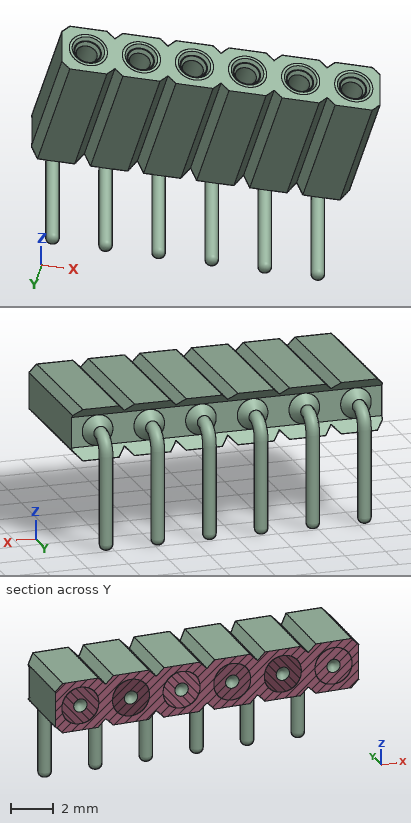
import cadquery as cq
import math

pin_count = 6
row_length = 15.24
pitch = row_length / pin_count
half_height = pitch / 2
housing_depth = 7.0
corner_chamfer = 0.38
notch_depth = 0.52
notch_floor_y = housing_depth - notch_depth
notch_floor_half = half_height - notch_depth

overall_depth = 8.08
overall_height = 6.77
tail_radius = 0.32
sleeve_radius = 0.91
shoulder_exit_radius = notch_floor_half
shoulder_start_y = notch_floor_y - (sleeve_radius - shoulder_exit_radius)
shoulder_end_y = notch_floor_y + (shoulder_exit_radius - tail_radius)
tail_axis_y = overall_depth - tail_radius
bend_radius = tail_axis_y - shoulder_end_y
tail_end_z = half_height - overall_height
tip_fillet = 0.29

mouth_radius = 0.78
ledge_outer_radius = 0.65
ledge_inner_radius = 0.61
ledge_depth = 0.15
bore_radius = 0.5
taper_depth = 0.35
bore_depth = 3.05
drill_point_angle = 118
drill_tip_depth = bore_radius / math.tan(math.radians(drill_point_angle / 2))


def cell_x(index):
    """X of the pin axis in one cell, with the row centred on x = 0."""
    return (index - (pin_count - 1) / 2) * pitch


def revolve_about_y(points):
    """Turn (radius, y) points round the Y axis."""
    return cq.Workplane("XY").polyline(points).close().revolve(360, (0, 0, 0), (0, 1, 0))


def make_cell():
    """One housing cell: a square bar with its four long edges chamfered."""
    bar = cq.Workplane("XY").box(pitch, housing_depth, pitch, centered=(True, False, True))
    return bar.edges("|Y").chamfer(corner_chamfer)


def make_rear_notch():
    """Trapezoidal channel along the whole rear face."""
    return (
        cq.Workplane("YZ")
        .polyline([
            (housing_depth, half_height),
            (notch_floor_y, notch_floor_half),
            (notch_floor_y, -notch_floor_half),
            (housing_depth, -half_height),
        ])
        .close()
        .extrude(row_length / 2, both=True)
    )


def make_sleeve_envelope():
    """Solid sleeve with its shoulder, which also shapes the seat in the housing."""
    return revolve_about_y([
        (0, 0),
        (sleeve_radius, 0),
        (sleeve_radius, shoulder_start_y),
        (tail_radius, shoulder_end_y),
        (0, shoulder_end_y),
    ])


def make_housing():
    housing = make_cell().translate((cell_x(0), 0, 0))
    for index in range(1, pin_count):
        housing = housing.union(make_cell().translate((cell_x(index), 0, 0)))
    housing = housing.cut(make_rear_notch())
    for index in range(pin_count):
        housing = housing.cut(make_sleeve_envelope().translate((cell_x(index), 0, 0)))
    return housing


def make_socket_bore():
    """Flared mouth, ledge, taper and blind hole with a conical drill end."""
    return revolve_about_y([
        (0, 0),
        (mouth_radius, 0),
        (ledge_outer_radius, ledge_depth),
        (ledge_inner_radius, ledge_depth),
        (bore_radius, taper_depth),
        (bore_radius, bore_depth),
        (0, bore_depth + drill_tip_depth),
    ])


def make_bend():
    """Quarter turn from +Y down to -Z."""
    return (
        cq.Workplane("XZ", origin=(0, shoulder_end_y, 0))
        .circle(tail_radius)
        .revolve(90, (0.15, -bend_radius, 0), (0, -bend_radius, 0))
    )


def make_tail():
    """Straight leg below the bend, with its tip rounded over."""
    leg_length = -bend_radius - tail_end_z
    leg = (
        cq.Workplane("XY", origin=(0, tail_axis_y, tail_end_z))
        .circle(tail_radius)
        .extrude(leg_length)
    )
    return leg.faces("<Z").edges().fillet(tip_fillet)


def make_pin(x):
    pin = make_sleeve_envelope().cut(make_socket_bore())
    pin = pin.union(make_bend()).union(make_tail())
    return pin.translate((x, 0, 0))


housing = make_housing()
pins = [make_pin(cell_x(index)) for index in range(pin_count)]

result = cq.Compound.makeCompound([housing.val(), *[pin.val() for pin in pins]])